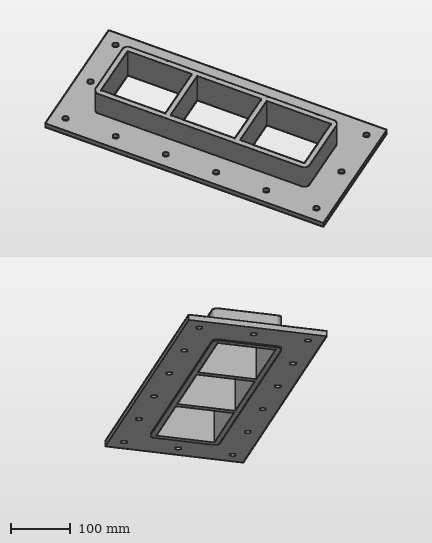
import cadquery as cq

plate_length = 521.5
plate_width = 241.0
plate_thickness = 10.0

wall = 10.0
frame_length = 401.0
frame_width = 121.0
frame_height = 60.0
corner_radius = 10.0
frame_projection_below = 2.5

window_count = 3
window_length = (frame_length - (window_count + 1) * wall) / window_count
window_width = frame_width - 2 * wall
window_pitch = window_length + wall

hole_diameter = 10.5
hole_edge_distance = 25.5
hole_columns = 6
hole_rows = 3
hole_span_x = plate_length - 2 * hole_edge_distance
hole_span_y = plate_width - 2 * hole_edge_distance


def make_plate():
    """Flat flange whose underside lies above the bottom of the frame."""
    return (
        cq.Workplane("XY")
        .workplane(offset=frame_projection_below)
        .rect(plate_length, plate_width)
        .extrude(plate_thickness)
    )


def make_frame():
    """Solid block with rounded vertical corners."""
    return (
        cq.Workplane("XY")
        .rect(frame_length, frame_width)
        .extrude(frame_height)
        .edges("|Z")
        .fillet(corner_radius)
    )


def make_windows():
    """Row of rectangular through openings."""
    return (
        cq.Workplane("XY")
        .rarray(window_pitch, 5, window_count, 1)
        .rect(window_length, window_width)
        .extrude(frame_height)
    )


def border_hole_points():
    """Grid positions on the border only; interior grid positions are skipped."""
    points = []
    for column in range(hole_columns):
        for row in range(hole_rows):
            if column in (0, hole_columns - 1) or row in (0, hole_rows - 1):
                x = hole_span_x * (column / (hole_columns - 1) - 0.5)
                y = hole_span_y * (row / (hole_rows - 1) - 0.5)
                points.append((x, y))
    return points


def make_holes():
    """Mounting hole cutters reaching through the plate."""
    return (
        cq.Workplane("XY")
        .pushPoints(border_hole_points())
        .circle(hole_diameter / 2)
        .extrude(frame_height)
    )


result = make_plate().union(make_frame()).cut(make_windows()).cut(make_holes())